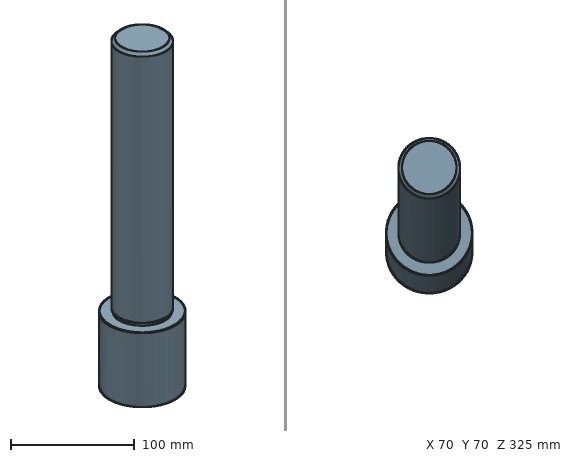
import cadquery as cq

total_length = 325.0
head_diameter = 70.0
head_length = 70.0
head_chamfer = 0.5
shaft_diameter = 50.0
shaft_chamfer = 3.0
relief_diameter = 48.0
relief_width = 3.0

head_radius = head_diameter / 2
shaft_radius = shaft_diameter / 2
relief_radius = relief_diameter / 2


def make_head():
    """Cylindrical head standing on Z = 0, with both rims lightly broken."""
    head = cq.Workplane("XY").circle(head_radius).extrude(head_length)
    return head.faces("<Z or >Z").chamfer(head_chamfer)


def make_shaft():
    """Round shaft rising from the head, chamfered at its free end."""
    shaft_length = total_length - head_length
    shaft = cq.Workplane("XY").workplane(offset=head_length).circle(shaft_radius).extrude(shaft_length)
    return shaft.faces(">Z").chamfer(shaft_chamfer)


def make_relief():
    """Ring removed from the shaft where it meets the head."""
    return (
        cq.Workplane("XY")
        .workplane(offset=head_length)
        .circle(shaft_radius)
        .circle(relief_radius)
        .extrude(relief_width)
    )


result = make_head().union(make_shaft().cut(make_relief()))